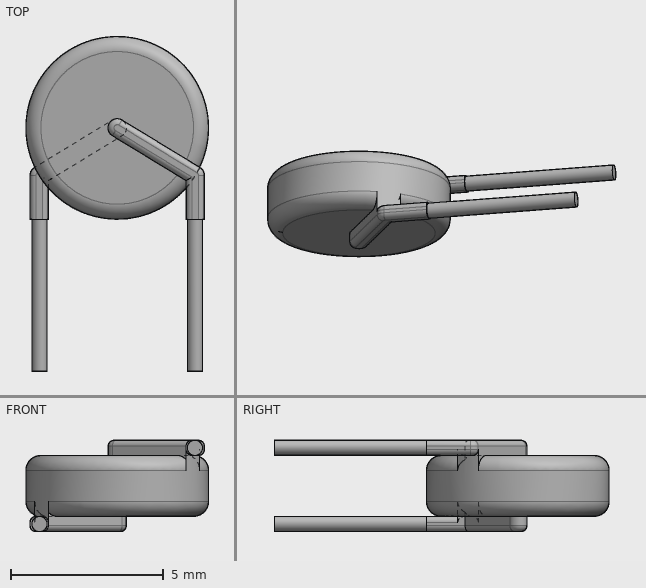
import cadquery as cq
import math

overall_length = 10.98
overall_height = 3.0
body_radius = 3.0
body_height = 2.0
body_round = 0.49

lead_diameter = (overall_height - body_height) / 2
lead_x = 2.55
lead_tip_y = body_radius - overall_length

coat_width = 0.6
coat_round = 0.2
bend_x = 2.56
bend_y = -1.56
sleeve_end_y = -body_radius

body_top = body_height / 2
rim_start_z = body_top - body_round
lead_axis_z = body_top + lead_diameter / 2
coat_half = coat_width / 2


def make_body():
    """Flat disc with both rims rounded."""
    disc = cq.Workplane("XY", origin=(0, 0, -body_top)).circle(body_radius).extrude(body_height)
    return disc.edges("%CIRCLE").fillet(body_round)


def coat_outline(base_z):
    """Constant-width bent strip: round at the body axis and outside the bend, square at the sleeve end."""
    arm_length = math.hypot(bend_x, bend_y)
    along_x = bend_x / arm_length
    along_y = bend_y / arm_length
    side_x = -along_y * coat_half
    side_y = along_x * coat_half
    half_turn = math.atan2(side_y, side_x) / 2
    arc_mid = (bend_x + coat_half * math.cos(half_turn), bend_y + coat_half * math.sin(half_turn))
    inner_corner = (bend_x - coat_half, bend_y - coat_half * math.tan(half_turn))
    return (
        cq.Workplane("XY", origin=(0, 0, base_z))
        .moveTo(side_x, side_y)
        .lineTo(bend_x + side_x, bend_y + side_y)
        .threePointArc(arc_mid, (bend_x + coat_half, bend_y))
        .lineTo(bend_x + coat_half, sleeve_end_y)
        .lineTo(bend_x - coat_half, sleeve_end_y)
        .lineTo(*inner_corner)
        .lineTo(-side_x, -side_y)
        .threePointArc((-along_x * coat_half, -along_y * coat_half), (side_x, side_y))
        .close()
    )


def make_coat():
    """Strip with its long edges rounded above and below; the sleeve end stays sharp."""
    strip = coat_outline(body_top).extrude(lead_diameter)
    strip = strip.faces(">Z").edges("not <Y").fillet(coat_round)
    return strip.faces("<Z").edges("not <Y").fillet(coat_round)


def make_web():
    """Straight-sided fill joining the strip to the body, ending at the body's outer cylinder."""
    fill = coat_outline(rim_start_z).extrude(lead_axis_z - rim_start_z)
    limit = cq.Workplane("XY").circle(body_radius).extrude(lead_axis_z)
    return fill.intersect(limit)


def make_lead():
    """Bare round lead running in -Y from the sleeve end."""
    return (
        cq.Workplane("XZ", origin=(lead_x, sleeve_end_y, lead_axis_z))
        .circle(lead_diameter / 2)
        .extrude(sleeve_end_y - lead_tip_y)
    )


upper_terminal = make_coat().union(make_web()).union(make_lead())
lower_terminal = upper_terminal.rotate((0, 0, 0), (0, 1, 0), 180)

result = make_body().union(upper_terminal).union(lower_terminal)